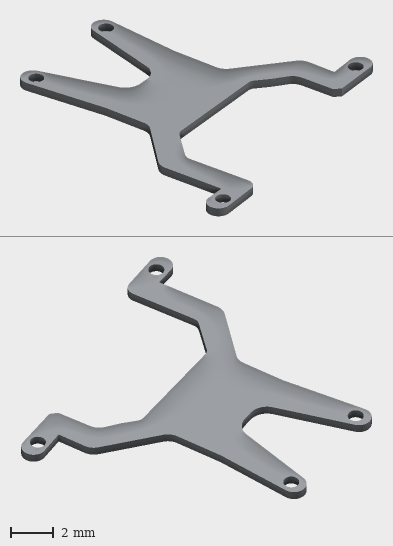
import cadquery as cq
import math

THICKNESS = 0.43
HOLE_DIAMETER = 0.75

WEB_TOP = 3.0
WEB_BOTTOM = -2.95
WEB_RIGHT = 8.2
SLOT_FLOOR_X = 4.2
SLOT_HALF_WIDTH = 0.94
SLOT_RADIUS = 0.9

PRONG_TIP_RADIUS = 0.6
PRONG_TIP_X = -0.16
PRONG_TIP_Y = 2.77
PRONG_HOLE_Y = 2.74
UPPER_PRONG_ROOT_X = 3.75
LOWER_PRONG_ROOT_X = 4.17

FOOT_RADIUS = 0.58
FOOT_HOLE_INSET = 0.36
UPPER_FOOT = (11.38, 7.24)
LOWER_FOOT = (13.3, -6.5)
BEND_RADIUS = 0.77
LOWER_BEND_RADIUS = 0.52
WEB_CORNER_RADIUS = 0.45
HEEL_RADIUS = 0.5

UPPER_ARM_TOP = 5.92
UPPER_OUTER_ROOT = (6.54, WEB_TOP)
UPPER_OUTER_BEND = (9.06, UPPER_ARM_TOP)
UPPER_FOOT_CORNER = (10.86, UPPER_ARM_TOP)
UPPER_HEEL_BOTTOM = (11.71, 4.66)
UPPER_HEEL_CHAMFER = 0.3
UPPER_HEEL_SIDE = (UPPER_HEEL_BOTTOM[0] + UPPER_HEEL_CHAMFER, UPPER_HEEL_BOTTOM[1] + UPPER_HEEL_CHAMFER)
UPPER_INNER_BEND = (9.58, 4.6)
UPPER_INNER_KINK = (8.85, 3.67)
UPPER_INNER_ROOT = (WEB_RIGHT, 2.97)

LOWER_INNER_ROOT = (WEB_RIGHT, -2.67)
LOWER_INNER_BEND = (9.76, -4.25)
LOWER_HEEL = (13.81, -4.13)
LOWER_FOOT_CORNER = (12.72, -5.48)
LOWER_OUTER_BEND = (9.2, -5.56)
LOWER_OUTER_ROOT = (6.69, WEB_BOTTOM)


def corner(point, radius=0.0):
    """Outline corner, rounded with the given radius (0 leaves it sharp)."""
    return ("corner", point, radius)


def tip(center, radius):
    """Convex round end, joined to its neighbouring corners by tangents."""
    return ("tip", center, radius)


OUTLINE = [
    tip((PRONG_TIP_X, PRONG_TIP_Y), PRONG_TIP_RADIUS),
    corner((UPPER_PRONG_ROOT_X, WEB_TOP)),
    corner(UPPER_OUTER_ROOT, BEND_RADIUS),
    corner(UPPER_OUTER_BEND, BEND_RADIUS),
    corner(UPPER_FOOT_CORNER),
    tip(UPPER_FOOT, FOOT_RADIUS),
    corner(UPPER_HEEL_SIDE),
    corner(UPPER_HEEL_BOTTOM),
    corner(UPPER_INNER_BEND, BEND_RADIUS),
    corner(UPPER_INNER_KINK),
    corner(UPPER_INNER_ROOT, WEB_CORNER_RADIUS),
    corner(LOWER_INNER_ROOT, WEB_CORNER_RADIUS),
    corner(LOWER_INNER_BEND, LOWER_BEND_RADIUS),
    corner(LOWER_HEEL, HEEL_RADIUS),
    tip(LOWER_FOOT, FOOT_RADIUS),
    corner(LOWER_FOOT_CORNER),
    corner(LOWER_OUTER_BEND, BEND_RADIUS),
    corner(LOWER_OUTER_ROOT, BEND_RADIUS),
    corner((LOWER_PRONG_ROOT_X, WEB_BOTTOM)),
    tip((PRONG_TIP_X, -PRONG_TIP_Y), PRONG_TIP_RADIUS),
    corner((SLOT_FLOOR_X, -SLOT_HALF_WIDTH), SLOT_RADIUS),
    corner((SLOT_FLOOR_X, SLOT_HALF_WIDTH), SLOT_RADIUS),
]

HOLES = [
    (0.0, PRONG_HOLE_Y),
    (0.0, -PRONG_HOLE_Y),
    (UPPER_FOOT[0], UPPER_FOOT[1] - FOOT_HOLE_INSET),
    (LOWER_FOOT[0], LOWER_FOOT[1] + FOOT_HOLE_INSET),
]


def polar(center, radius, angle):
    return (center[0] + radius * math.cos(angle), center[1] + radius * math.sin(angle))


def direction(start, end):
    return math.atan2(end[1] - start[1], end[0] - start[0])


def tip_arc(before, center, radius, after):
    """Start, middle and end of the clockwise arc round a tip."""
    arriving = direction(before, center) + math.asin(radius / math.dist(before, center))
    leaving = direction(center, after) - math.asin(radius / math.dist(center, after))
    start_angle = arriving + math.pi / 2
    sweep = (arriving - leaving) % (2 * math.pi)
    return [polar(center, radius, start_angle - part * sweep) for part in (0, 0.5, 1)]


def corner_arc(before, point, radius, after):
    """Start, middle and end of the arc that rounds a corner."""
    back = direction(point, before)
    ahead = direction(point, after)
    half_angle = math.acos(math.cos(ahead - back)) / 2
    setback = radius / math.tan(half_angle)
    bisector = direction((0, 0), (math.cos(back) + math.cos(ahead), math.sin(back) + math.sin(ahead)))
    middle = polar(point, radius / math.sin(half_angle) - radius, bisector)
    return [polar(point, setback, back), middle, polar(point, setback, ahead)]


def outline_arcs():
    """One entry per outline item: a single sharp point, or three arc points."""
    count = len(OUTLINE)
    arcs = [None] * count
    for i, (kind, point, radius) in enumerate(OUTLINE):
        if kind == "tip":
            arcs[i] = tip_arc(OUTLINE[i - 1][1], point, radius, OUTLINE[(i + 1) % count][1])
        else:
            arcs[i] = [point]
    ends = list(arcs)
    for i, (kind, point, radius) in enumerate(OUTLINE):
        if kind == "corner" and radius > 0:
            arcs[i] = corner_arc(ends[i - 1][-1], point, radius, ends[(i + 1) % count][0])
    return arcs


def make_plate():
    arcs = outline_arcs()
    sketch = cq.Workplane("XY").moveTo(*arcs[0][0])
    for i, arc in enumerate(arcs):
        if i > 0:
            sketch = sketch.lineTo(*arc[0])
        if len(arc) > 1:
            sketch = sketch.threePointArc(arc[1], arc[2])
    return sketch.close().extrude(THICKNESS)


def make_holes():
    return cq.Workplane("XY").pushPoints(HOLES).circle(HOLE_DIAMETER / 2).extrude(THICKNESS)


result = make_plate().cut(make_holes())